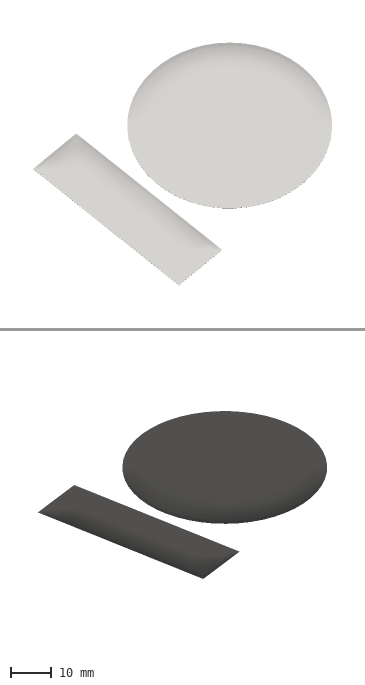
import cadquery as cq

total_length = 68.0
disc_diameter = 50.0
gap = 3.0
thickness = 0.05

disc_radius = disc_diameter / 2
strip_length = disc_diameter
strip_width = total_length - disc_diameter - gap
strip_center_y = -(disc_radius + gap + strip_width / 2)


def make_disc():
    """Thin round sheet standing on the XY plane."""
    return cq.Workplane("XY").circle(disc_radius).extrude(thickness)


def make_strip():
    """Thin rectangular sheet, as long as the disc is wide, on its -Y side."""
    return (
        cq.Workplane("XY")
        .center(0, strip_center_y)
        .rect(strip_length, strip_width)
        .extrude(thickness)
    )


disc = make_disc()
strip = make_strip()

result = cq.Compound.makeCompound([disc.val(), strip.val()])